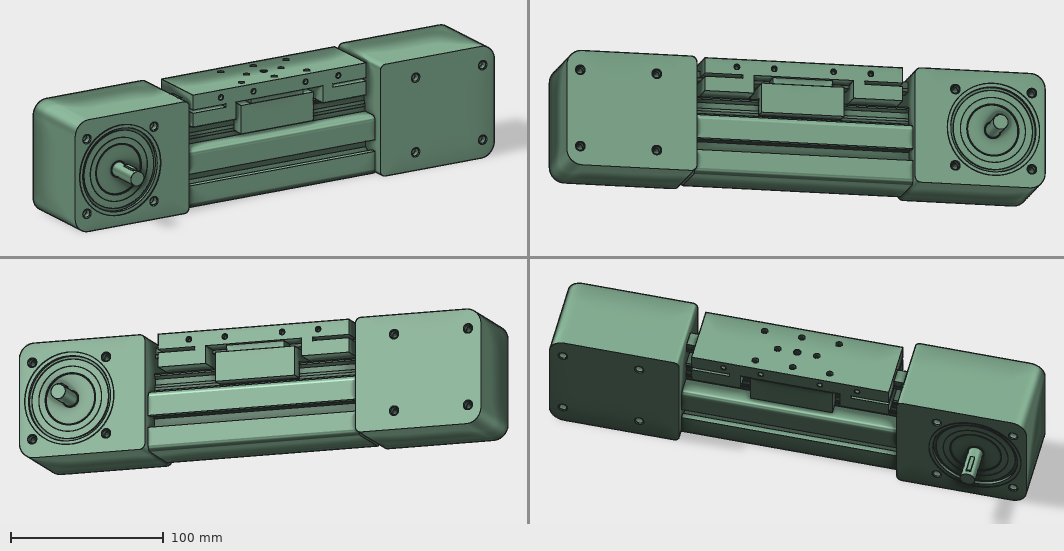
import cadquery as cq

total_length = 321.0
half_length = total_length / 2
housing_length = 87.3
housing_width = 53.3
housing_height = 77.0
housing_inner_y = half_length - housing_length
bed_length = 2 * housing_inner_y

outer_corner_radius = 10.3
inner_corner_radius = 4.0
axis_y = 125.8
axis_z = 38.2
bolt_spacing = 51.5
bolt_mouth_diameter = 6.5
bolt_hole_diameter = 5.0
bolt_hole_depth = 4.8

shaft_length = 96.0
shaft_diameter = 10.0
key_length = 12.0
key_width = 3.0
key_rise = 1.0
key_end_gap = 3.0
collar_diameter = 11.2
ring_groove_outer = 57.0
ring_groove_inner = 53.3
ring_groove_depth = 3.0
bearing_recesses = ((62.0, 0.5), (53.3, 2.0), (43.5, 2.2), (35.0, 2.5), (33.7, 3.0))
collar_depth = 2.5

profile_width = 40.0
profile_height = 40.0
profile_corner_radius = 3.5
slot_center_z = 20.0
slot_opening = 8.0
slot_lip = 4.0
slot_inner_width = 20.0
slot_floor_width = 8.5
slot_depth = 12.2

rail_half_width = 7.5
rail_waist_half_width = 6.0
rail_foot_half_width = 7.0
rail_chamfer = 1.0
rail_top_z = 55.0
rail_head_z = 53.0
rail_waist_top_z = 51.0
rail_waist_bottom_z = 47.2
rail_foot_z = 45.3
pedestal_top_z = 43.3

carriage_length = 132.5
carriage_width = 40.0
carriage_top_z = 78.0
plate_bottom_z = 67.7
foot_bottom_z = 56.0
foot_inner_y = 33.5
pad_length = 39.8
pad_width = 33.5
runner_length = 55.2
runner_width = 34.0
runner_top_z = 63.5
runner_bottom_z = 44.0
rail_clearance = 0.3
clamp_slot_length = 25.5

mount_x = 13.2
mount_y = 25.0
mount_hole_diameter = 4.2
mount_hole_depth = 4.8
center_mouth_diameter = 4.8
center_hole_diameter = 4.0
side_hole_z = 73.0
side_hole_ys = (-45.0, -20.0, 20.0, 45.0)
side_mouth_diameter = 4.0
side_hole_diameter = 3.2
side_hole_depth = 3.2

belt_width = 11.2
belt_upper_width = 10.3
belt_top_z = 72.2
belt_bottom_z = 65.5


def block(length_x, length_y, z_low, z_high, center_y=0.0):
    """Box centred on X = 0 between two heights."""
    floor = cq.Workplane("XY", origin=(0, center_y, z_low))
    return floor.rect(length_x, length_y).extrude(z_high - z_low)


def beveled_hole(mouth, inward, mouth_diameter, hole_diameter, depth):
    """Blind hole with a 45 degree bevel at its mouth and a 45 degree drill point at its end."""
    bevel_depth = (mouth_diameter - hole_diameter) / 2
    point = cq.Vector(*mouth)
    direction = cq.Vector(*inward)
    bevel = cq.Solid.makeCone(mouth_diameter / 2, hole_diameter / 2, bevel_depth, point, direction)
    bore = cq.Solid.makeCylinder(hole_diameter / 2, depth, point, direction)
    bore_end = point + direction * depth
    drill_point = cq.Solid.makeCone(hole_diameter / 2, 0, hole_diameter / 2, bore_end, direction)
    return cq.Workplane(bevel.fuse(bore, drill_point))


def shaft_axis_disc(diameter, x_start, x_end):
    """Cylinder on the drive axis between two X positions."""
    plane = cq.Workplane("YZ", origin=(x_start, -axis_y, axis_z))
    return plane.circle(diameter / 2).extrude(x_end - x_start)


def make_housing(end):
    """Rounded end housing; end is +1 for the +Y end and -1 for the -Y end."""
    center_y = end * (half_length - housing_length / 2)
    body = block(housing_width, housing_length, 0, housing_height, center_y)
    outer_side, inner_side = (">Y", "<Y") if end > 0 else ("<Y", ">Y")
    body = body.faces(outer_side).edges("|X").fillet(outer_corner_radius)
    body = body.faces(inner_side).edges("|X").fillet(inner_corner_radius)
    bolt_hole = (bolt_mouth_diameter, bolt_hole_diameter, bolt_hole_depth)
    offsets = (-bolt_spacing / 2, bolt_spacing / 2)
    for side in (-1, 1):
        for offset_y in offsets:
            for offset_z in offsets:
                mouth = (side * housing_width / 2, end * axis_y + offset_y, axis_z + offset_z)
                body = body.cut(beveled_hole(mouth, (-side, 0, 0), *bolt_hole))
    return body


def make_drive_housing():
    """The -Y housing with stepped bearing recesses and a keyed shaft on both sides."""
    body = make_housing(-1)
    shaft_top_z = axis_z + shaft_diameter / 2
    for side in (-1, 1):
        face_x = side * housing_width / 2
        for diameter, depth in bearing_recesses:
            body = body.cut(shaft_axis_disc(diameter, face_x - side * depth, face_x))
        groove_floor_x = face_x - side * ring_groove_depth
        groove = shaft_axis_disc(ring_groove_outer, groove_floor_x, face_x)
        groove = groove.cut(shaft_axis_disc(ring_groove_inner, groove_floor_x, face_x))
        body = body.cut(groove)
        body = body.union(shaft_axis_disc(collar_diameter, 0, face_x - side * collar_depth))
    body = body.union(shaft_axis_disc(shaft_diameter, -shaft_length / 2, shaft_length / 2))
    for side in (-1, 1):
        key_x = side * (shaft_length / 2 - key_end_gap - key_length / 2)
        key = block(key_length, key_width, axis_z, shaft_top_z + key_rise, -axis_y)
        body = body.union(key.translate((key_x, 0, 0)))
    return body


def make_profile():
    """Extruded profile with a T-slot along each side."""
    half_width = profile_width / 2
    body = block(profile_width, bed_length, 0, profile_height)
    body = body.edges("|Y").fillet(profile_corner_radius)
    slot = (
        cq.Workplane("XZ", origin=(-half_width, housing_inner_y, slot_center_z))
        .moveTo(0, -slot_opening / 2)
        .lineTo(slot_lip, -slot_opening / 2)
        .lineTo(slot_lip, -slot_inner_width / 2)
        .lineTo(slot_depth, -slot_floor_width / 2)
        .lineTo(slot_depth, slot_floor_width / 2)
        .lineTo(slot_lip, slot_inner_width / 2)
        .lineTo(slot_lip, slot_opening / 2)
        .lineTo(0, slot_opening / 2)
        .close()
        .extrude(bed_length)
    )
    return body.cut(slot).cut(slot.mirror("YZ"))


def make_bed():
    """Profile and guide rail as one body."""
    right_side = [
        (rail_half_width, profile_height),
        (rail_half_width, pedestal_top_z),
        (rail_foot_half_width, pedestal_top_z),
        (rail_foot_half_width, rail_foot_z),
        (rail_waist_half_width, rail_waist_bottom_z),
        (rail_waist_half_width, rail_waist_top_z),
        (rail_half_width, rail_head_z),
        (rail_half_width, rail_top_z - rail_chamfer),
        (rail_half_width - rail_chamfer, rail_top_z),
    ]
    left_side = [(-x, z) for x, z in reversed(right_side)]
    section = cq.Workplane("XZ", origin=(0, housing_inner_y, 0)).polyline(right_side + left_side).close()
    return make_profile().union(section.extrude(bed_length))


def make_belt():
    """Belt run from one housing to the other."""
    lower = block(belt_width, bed_length, belt_bottom_z, plate_bottom_z)
    upper = block(belt_upper_width, bed_length, plate_bottom_z, belt_top_z)
    return lower.union(upper)


def make_runner():
    """Runner block with a tunnel that clears the rail."""
    tunnel_width = 2 * (rail_half_width + rail_clearance)
    runner = block(runner_width, runner_length, runner_bottom_z, runner_top_z)
    return runner.cut(block(tunnel_width, runner_length, runner_bottom_z, rail_top_z + rail_clearance))


def drill_carriage(body):
    """Mounting holes in the top face and a row of small holes in each side."""
    spots = [(side * mount_x, row * mount_y) for side in (-1, 1) for row in (-1, 0, 1)]
    spots += [(0, -mount_x), (0, mount_x)]
    top_plane = cq.Workplane("XY", origin=(0, 0, carriage_top_z))
    body = body.cut(top_plane.pushPoints(spots).circle(mount_hole_diameter / 2).extrude(-mount_hole_depth))
    top_center = (0, 0, carriage_top_z)
    center_hole = (center_mouth_diameter, center_hole_diameter, mount_hole_depth)
    body = body.cut(beveled_hole(top_center, (0, 0, -1), *center_hole))
    side_hole = (side_mouth_diameter, side_hole_diameter, side_hole_depth)
    for side in (-1, 1):
        for hole_y in side_hole_ys:
            mouth = (side * carriage_width / 2, hole_y, side_hole_z)
            body = body.cut(beveled_hole(mouth, (-side, 0, 0), *side_hole))
    return body


def make_carriage(belt_body):
    """Carriage on the rail, with a channel in which the belt lies."""
    body = block(carriage_width, carriage_length, plate_bottom_z, carriage_top_z)
    foot_length = carriage_length / 2 - foot_inner_y
    for end in (-1, 1):
        foot_y = end * (foot_inner_y + foot_length / 2)
        body = body.union(block(carriage_width, foot_length, foot_bottom_z, plate_bottom_z, foot_y))
        slot_y = end * (carriage_length / 2 - clamp_slot_length / 2)
        body = body.cut(block(carriage_width, clamp_slot_length, belt_bottom_z, plate_bottom_z, slot_y))
    body = body.union(block(pad_width, pad_length, runner_top_z, plate_bottom_z))
    body = body.union(make_runner())
    return drill_carriage(body).cut(belt_body)


idler_housing = make_housing(1)
drive_housing = make_drive_housing()
bed = make_bed()
belt = make_belt()
carriage = make_carriage(belt)

result = cq.Compound.makeCompound(
    [idler_housing.val(), drive_housing.val(), bed.val(), belt.val(), carriage.val()]
)